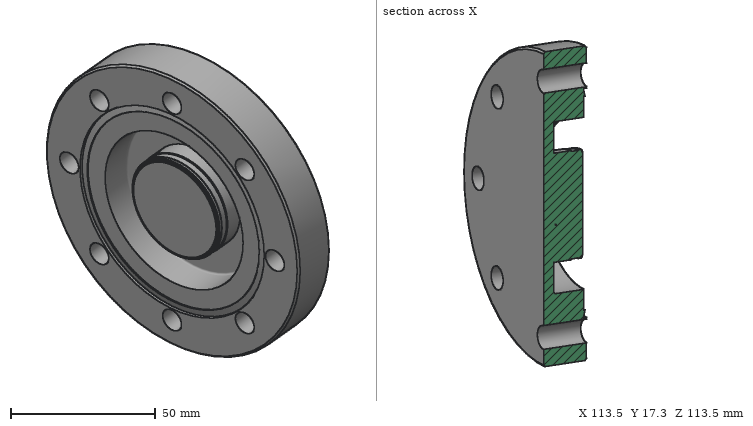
import cadquery as cq
flange_radius = 113.54 / 2
flange_thickness = 17.27
rim_chamfer = 0.75

bolt_count = 8
bolt_circle_radius = 92.1 / 2
bolt_hole_diameter = 8.4

recess_radius = 41.25
recess_depth = 1.2
knife_radius = 38.5
knife_tip_depth = 0.6
inner_land_depth = 1.1

cavity_radius = 30.9
cavity_depth = 13.0
cavity_floor_fillet = 0.75

post_base_radius = 19.75
post_neck_radius = 19.45
post_neck_depth = 6.0
post_head_radius = 19.6
post_head_depth = 3.4
post_tip_depth = 1.5

head_chamfer = 0.35
head_shoulder_depth = 1.8
tip_radius = 18.5
tip_chamfer = head_shoulder_depth - post_tip_depth


def make_flange_body():
    """Revolve the half section, drawn as (radius, depth), about the flange axis."""
    section = (
        cq.Workplane("XY")
        .moveTo(0, post_tip_depth)
        .lineTo(tip_radius, post_tip_depth)
        .lineTo(tip_radius + tip_chamfer, head_shoulder_depth)
        .lineTo(post_head_radius - head_chamfer, head_shoulder_depth)
        .lineTo(post_head_radius, head_shoulder_depth + head_chamfer)
        .lineTo(post_head_radius, post_head_depth)
        .lineTo(post_neck_radius, post_head_depth)
        .lineTo(post_neck_radius, post_neck_depth)
        .lineTo(post_base_radius, post_neck_depth + post_base_radius - post_neck_radius)
        .lineTo(post_base_radius, cavity_depth)
        .lineTo(cavity_radius - cavity_floor_fillet, cavity_depth)
        .radiusArc((cavity_radius, cavity_depth - cavity_floor_fillet), cavity_floor_fillet)
        .lineTo(cavity_radius, inner_land_depth)
        .lineTo(knife_radius, inner_land_depth)
        .lineTo(knife_radius, knife_tip_depth)
        .lineTo(recess_radius, recess_depth)
        .lineTo(recess_radius, 0)
        .lineTo(flange_radius - rim_chamfer, 0)
        .lineTo(flange_radius, rim_chamfer)
        .lineTo(flange_radius, flange_thickness - rim_chamfer)
        .lineTo(flange_radius - rim_chamfer, flange_thickness)
        .lineTo(0, flange_thickness)
        .close()
    )
    return section.revolve(360, (0, 0, 0), (0, 1, 0))


def make_bolt_holes():
    """Cylinders for the bolt holes, spanning the full flange thickness."""
    return (
        cq.Workplane("XZ")
        .polarArray(bolt_circle_radius, 0, 360, bolt_count)
        .circle(bolt_hole_diameter / 2)
        .extrude(-flange_thickness)
    )


result = make_flange_body().cut(make_bolt_holes())